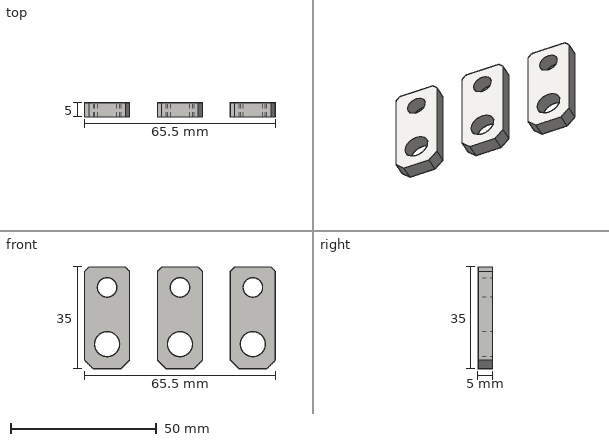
import cadquery as cq

total_length = 65.5
plate_count = 3
plate_width = 15.5
plate_pitch = (total_length - plate_width) / (plate_count - 1)
plate_height = 35.0
plate_thickness = 5.0

top_chamfer = 1.5
bottom_chamfer = 3.0

upper_hole_diameter = 6.6
upper_hole_from_top = 7.0
lower_hole_diameter = 8.5
lower_hole_from_bottom = 8.5


def cut_hole(plate, diameter, height):
    """Cut a hole through the full thickness, centred at the given height."""
    drill = cq.Workplane("XZ").center(0, height).circle(diameter / 2).extrude(-plate_thickness)
    return plate.cut(drill)


def make_plate(center_x):
    """One link plate standing on Z = 0, with its front face at Y = 0."""
    plate = cq.Workplane("XY").box(
        plate_width, plate_thickness, plate_height, centered=(True, False, False)
    )
    plate = plate.edges("|Y and >Z").chamfer(top_chamfer)
    plate = plate.edges("|Y and <Z").chamfer(bottom_chamfer)
    plate = cut_hole(plate, upper_hole_diameter, plate_height - upper_hole_from_top)
    plate = cut_hole(plate, lower_hole_diameter, lower_hole_from_bottom)
    return plate.translate((center_x, 0, 0))


first_center_x = (plate_width - total_length) / 2
plates = [make_plate(first_center_x + i * plate_pitch) for i in range(plate_count)]

result = cq.Compound.makeCompound([plate.solids().val() for plate in plates])